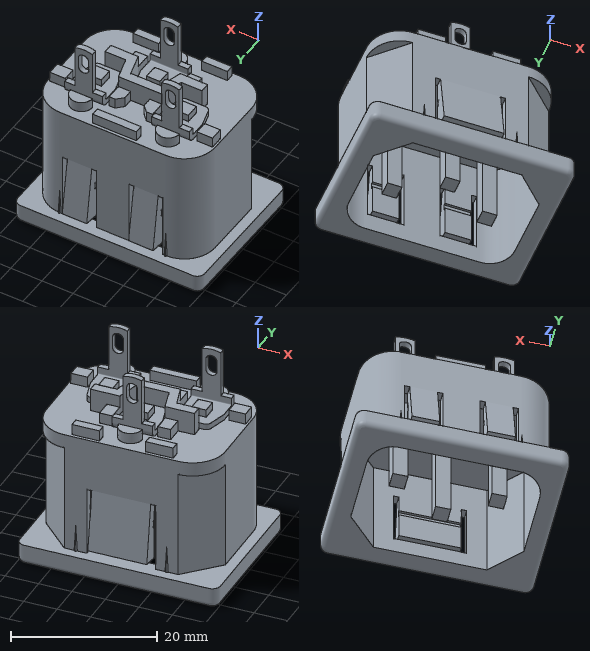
import cadquery as cq
import math


FLANGE_X, FLANGE_Y, FLANGE_TOP = 30.0, 22.5, 3.1
FLANGE_CORNER = 1.22
FLANGE_EDGE = 0.73
BODY_X, BODY_Y = 26.8, 19.33
CORNER = 4.9
BODY_TOP = 21.32
LID_BOTTOM = 19.2
WALL = 1.22

LATCH_WIDE, LATCH_NARROW = 8.8, 3.92
BACK_LATCH_X = 5.32
LATCH_GAP = 0.73
WINDOW_TOP = 13.35
LATCH_TIP_Y, LATCH_TIP_Z = 10.98, 4.4
HINGE_BOTTOM, HINGE_TOP = 9.05, 10.03
HINGE_DEPTH = 0.3

RIB_X = 6.8
RIB_WIDTH, RIB_DEPTH, RIB_HEIGHT = 0.5, 0.2, 4.05

BOSS_HEIGHT = 1.62
BAR_Y, BAR_DEPTH = 8.55, 1.25
BACK_BAR_LENGTH = 7.0
FRONT_BAR_LENGTH, FRONT_BAR_X = 4.1, 5.5
SIDE_BLOCK_X, SIDE_BLOCK_Y = 11.8, 3.85
SIDE_BLOCK_LENGTH, SIDE_BLOCK_DEPTH = 2.5, 2.02
STOP_RADIUS, STOP_FLAT_Y = 1.77, 6.5
BARRIER_HEIGHT = 3.43
BARRIER_EDGE_Y = 2.48
BARRIER_BACK_X, BARRIER_INNER_X = 3.5, 2.42
BARRIER_BEND_X, BARRIER_ARM_X = 4.47, 7.77
BARRIER_ARM_Y, BARRIER_INNER_Y = -0.98, 1.05
BARRIER_FOOT_X = 3.35
BUTTRESS_LENGTH, BUTTRESS_WIDTH = 2.48, 1.95
BUTTRESS_CHAMFER = 0.98

LINE_X = 6.97
SHEET = 0.9
PLATE_GAP = 0.1
PLATE_BOTTOM = BODY_TOP + PLATE_GAP
TAB_OUTER_Y = 5.93
BEND_INNER = 0.18
BEND_OUTER = BEND_INNER + SHEET
PLATE_HALF = 3.03
TAPER_START_Y, PLATE_END_Y = 2.57, -0.83
PLATE_END_HALF = 2.1
PLATE_END_FILLET = 0.8
SHOULDER_TOP = 23.45
TAB_WIDTH, TAB_TOP, TAB_CROWN = 2.8, 30.6, 0.25
EYE_WIDTH, EYE_LENGTH, EYE_Z = 1.65, 3.15, 28.0

PIN_SIDE, PIN_Y = 2.15, 1.95
PIN_TOP, PIN_BOTTOM = 23.43, 1.53

STATIONS = [(-LINE_X, 0), (LINE_X, 0), (0, 180)]


def box(x0, x1, y0, y1, z0, z1):
    """Block between two opposite corners."""
    return cq.Workplane("XY").box(x1 - x0, y1 - y0, z1 - z0, centered=False).translate((x0, y0, z0))


def lid_block(center_x, center_y, length, depth):
    """Low rectangular boss standing on the lid."""
    top = cq.Workplane("XY", origin=(center_x, center_y, BODY_TOP))
    return top.rect(length, depth).extrude(BOSS_HEIGHT)


def at_station(body, station):
    """Body modelled at X = 0, turned and moved to its station."""
    x, turn = station
    return body.rotate((0, 0, 0), (0, 0, 1), turn).translate((x, 0, 0))



def flange():
    plate = cq.Workplane("XY").rect(FLANGE_X, FLANGE_Y).extrude(FLANGE_TOP)
    return plate.edges("|Z").fillet(FLANGE_CORNER).faces("<Z").edges().fillet(FLANGE_EDGE)


def body_prism(inset, bottom, top):
    """Prism with round +Y corners and flat -Y bevels, inset evenly from the body's outline."""
    plan = cq.Workplane("XY").workplane(offset=bottom).rect(BODY_X, BODY_Y).extrude(top - bottom)
    plan = plan.edges("|Z and >Y").fillet(CORNER).edges("|Z and <Y").chamfer(CORNER)
    if inset:
        outline = plan.faces("<Z").wires().val().offset2D(-inset)
        plan = cq.Workplane("XY").add(outline).toPending().extrude(top - bottom)
    return plan


def lid():
    plate = cq.Workplane("XY").workplane(offset=LID_BOTTOM).rect(BODY_X, BODY_Y)
    return plate.extrude(BODY_TOP - LID_BOTTOM).edges("|Z").fillet(CORNER)


def latch_window(center_x, width):
    """Cutter for the opening around a latch in the -Y wall."""
    half = width / 2 + LATCH_GAP
    wall_y = -BODY_Y / 2
    return box(center_x - half, center_x + half, wall_y, wall_y + WALL, FLANGE_TOP, WINDOW_TOP)


def latch(center_x, width):
    """Sloping latch in the -Y wall; its lower end is square to the slope."""
    outer_y, inner_y = -BODY_Y / 2, -BODY_Y / 2 + WALL
    slope = (LATCH_TIP_Y - BODY_Y / 2) / (WINDOW_TOP - LATCH_TIP_Z)
    heel_z = LATCH_TIP_Z - slope * (LATCH_TIP_Y + inner_y)
    hinge_y = inner_y - HINGE_DEPTH
    profile = [
        (outer_y, WINDOW_TOP),
        (-LATCH_TIP_Y, LATCH_TIP_Z),
        (inner_y, heel_z),
        (inner_y, HINGE_BOTTOM),
        (hinge_y, HINGE_BOTTOM),
        (hinge_y, HINGE_TOP),
        (inner_y, HINGE_TOP),
        (inner_y, WINDOW_TOP),
    ]
    side = cq.Workplane("YZ", origin=(center_x, 0, 0))
    return side.polyline(profile).close().extrude(width / 2, both=True)


def crush_rib(center_x):
    """Three-sided spike on the -Y wall, widest at the flange."""
    wall_y = -BODY_Y / 2
    left = cq.Vector(center_x - RIB_WIDTH / 2, wall_y, FLANGE_TOP)
    right = cq.Vector(center_x + RIB_WIDTH / 2, wall_y, FLANGE_TOP)
    ridge = cq.Vector(center_x, wall_y - RIB_DEPTH, FLANGE_TOP)
    apex = cq.Vector(center_x, wall_y, FLANGE_TOP + RIB_HEIGHT)
    sides = [(left, right, ridge), (left, right, apex), (left, ridge, apex), (right, ridge, apex)]
    faces = [cq.Face.makeFromWires(cq.Wire.makePolygon(side, close=True)) for side in sides]
    return cq.Workplane("XY").add(cq.Solid.makeSolid(cq.Shell.makeShell(faces)))


def mirrored(body, on_back):
    """Body of the -Y wall, moved to the +Y wall when asked."""
    return body.mirror("XZ") if on_back else body


def barrier():
    """Tall insulating wall that winds between the three terminals."""
    right_half = [
        (BARRIER_BACK_X, BARRIER_EDGE_Y),
        (BARRIER_BEND_X, BARRIER_ARM_Y),
        (BARRIER_ARM_X, BARRIER_ARM_Y),
        (BARRIER_ARM_X, -BARRIER_EDGE_Y),
        (BARRIER_FOOT_X, -BARRIER_EDGE_Y),
        (BARRIER_INNER_X, BARRIER_INNER_Y),
    ]
    left_half = [(-x, y) for x, y in reversed(right_half)]
    top = cq.Workplane("XY").workplane(offset=BODY_TOP)
    return top.polyline(right_half + left_half).close().extrude(BARRIER_HEIGHT)


def buttresses(side):
    """Low blocks against the front and back of the barrier on one side (-1 or 1)."""
    front_x = side * (BARRIER_FOOT_X + BUTTRESS_WIDTH / 2)
    back_x = side * (BARRIER_BACK_X - BUTTRESS_WIDTH / 2)
    center_y = BARRIER_EDGE_Y + BUTTRESS_LENGTH / 2
    inner_edge = "<X" if side > 0 else ">X"
    back = lid_block(back_x, center_y, BUTTRESS_WIDTH, BUTTRESS_LENGTH)
    back = back.edges("|Z and >Y").edges(inner_edge).chamfer(BUTTRESS_CHAMFER)
    return back.union(lid_block(front_x, -center_y, BUTTRESS_WIDTH, BUTTRESS_LENGTH))


def terminal_stop():
    """Half-round boss behind a terminal's tab."""
    top = cq.Workplane("XY", origin=(0, STOP_FLAT_Y, BODY_TOP))
    half_round = top.moveTo(-STOP_RADIUS, 0).threePointArc((0, STOP_RADIUS), (STOP_RADIUS, 0)).close()
    return half_round.extrude(BOSS_HEIGHT)


def pin_prism(bottom, top):
    """Square column on a pin's axis."""
    column = cq.Workplane("XY", origin=(0, PIN_Y, bottom))
    return column.rect(PIN_SIDE, PIN_SIDE).extrude(top - bottom)


def make_housing():
    shell = flange().union(body_prism(0, FLANGE_TOP, LID_BOTTOM)).union(lid())
    shell = shell.cut(body_prism(WALL, 0, LID_BOTTOM))

    latches = [
        (0, LATCH_WIDE, False),
        (-BACK_LATCH_X, LATCH_NARROW, True),
        (BACK_LATCH_X, LATCH_NARROW, True),
    ]
    for x, width, on_back in latches:
        shell = shell.cut(mirrored(latch_window(x, width), on_back))
        shell = shell.union(mirrored(latch(x, width), on_back))

    shell = shell.union(barrier()).union(lid_block(0, BAR_Y, BACK_BAR_LENGTH, BAR_DEPTH))
    for side in (-1, 1):
        shell = shell.union(buttresses(side))
        shell = shell.union(lid_block(side * FRONT_BAR_X, -BAR_Y, FRONT_BAR_LENGTH, BAR_DEPTH))
        shell = shell.union(
            lid_block(side * SIDE_BLOCK_X, SIDE_BLOCK_Y, SIDE_BLOCK_LENGTH, SIDE_BLOCK_DEPTH)
        )

    for x in (-RIB_X, RIB_X):
        shell = shell.union(crush_rib(x))

    back_rib_x = BODY_X / 2 - CORNER
    for x in (-back_rib_x, back_rib_x):
        shell = shell.union(mirrored(crush_rib(x), True))

    for station in STATIONS:
        shell = shell.union(at_station(terminal_stop(), station))
        shell = shell.cut(at_station(pin_prism(LID_BOTTOM, BODY_TOP), station))
    return shell



def bent_sheet():
    """L-shaped sheet: a plate over the lid, bent up into a tab at its +Y end."""
    tab_inner_y = TAB_OUTER_Y - SHEET
    plate_top = PLATE_BOTTOM + SHEET
    bend_y, bend_z = TAB_OUTER_Y - BEND_OUTER, PLATE_BOTTOM + BEND_OUTER
    diagonal = math.sqrt(0.5)
    outer_mid = (bend_y + BEND_OUTER * diagonal, bend_z - BEND_OUTER * diagonal)
    inner_mid = (bend_y + BEND_INNER * diagonal, bend_z - BEND_INNER * diagonal)
    profile = (
        cq.Workplane("YZ")
        .moveTo(PLATE_END_Y, PLATE_BOTTOM)
        .lineTo(bend_y, PLATE_BOTTOM)
        .threePointArc(outer_mid, (TAB_OUTER_Y, bend_z))
        .lineTo(TAB_OUTER_Y, TAB_TOP)
        .lineTo(tab_inner_y, TAB_TOP)
        .lineTo(tab_inner_y, bend_z)
        .threePointArc(inner_mid, (bend_y, plate_top))
        .lineTo(PLATE_END_Y, plate_top)
        .close()
    )
    return profile.extrude(PLATE_HALF, both=True)


def plate_outline():
    """Column with the plate's plan: straight sides, then a taper to a rounded end."""
    plan = [
        (-PLATE_HALF, TAB_OUTER_Y),
        (-PLATE_HALF, TAPER_START_Y),
        (-PLATE_END_HALF, PLATE_END_Y),
        (PLATE_END_HALF, PLATE_END_Y),
        (PLATE_HALF, TAPER_START_Y),
        (PLATE_HALF, TAB_OUTER_Y),
    ]
    column = cq.Workplane("XY").workplane(offset=PLATE_BOTTOM).polyline(plan).close()
    return column.extrude(TAB_TOP - PLATE_BOTTOM).edges("|Z and <Y").fillet(PLATE_END_FILLET)


def tab_outline():
    """Slab with the tab's front shape: wide shoulders, narrow neck and crowned tip."""
    half = TAB_WIDTH / 2
    tip_side = TAB_TOP - TAB_CROWN
    front = (
        cq.Workplane("XZ")
        .moveTo(-PLATE_HALF, PLATE_BOTTOM)
        .lineTo(-PLATE_HALF, SHOULDER_TOP)
        .lineTo(-half, SHOULDER_TOP)
        .lineTo(-half, tip_side)
        .threePointArc((0, TAB_TOP), (half, tip_side))
        .lineTo(half, SHOULDER_TOP)
        .lineTo(PLATE_HALF, SHOULDER_TOP)
        .lineTo(PLATE_HALF, PLATE_BOTTOM)
        .close()
    )
    return front.extrude(TAB_OUTER_Y, both=True)


def tab_eye():
    """Cutter for the upright wire slot in the tab."""
    slot = cq.Workplane("XZ", origin=(0, 0, EYE_Z)).slot2D(EYE_LENGTH, EYE_WIDTH, 90)
    return slot.extrude(TAB_OUTER_Y, both=True)


def make_terminal(station):
    sheet = bent_sheet().intersect(plate_outline()).intersect(tab_outline())
    sheet = sheet.cut(tab_eye()).cut(pin_prism(PLATE_BOTTOM, PIN_TOP))
    return at_station(sheet, station)



def make_pin(station):
    return at_station(pin_prism(PIN_BOTTOM, PIN_TOP), station)


housing = make_housing()
terminals = [make_terminal(station) for station in STATIONS]
pins = [make_pin(station) for station in STATIONS]

bodies = [housing, *terminals, *pins]
result = cq.Compound.makeCompound([body.solids().val() for body in bodies])